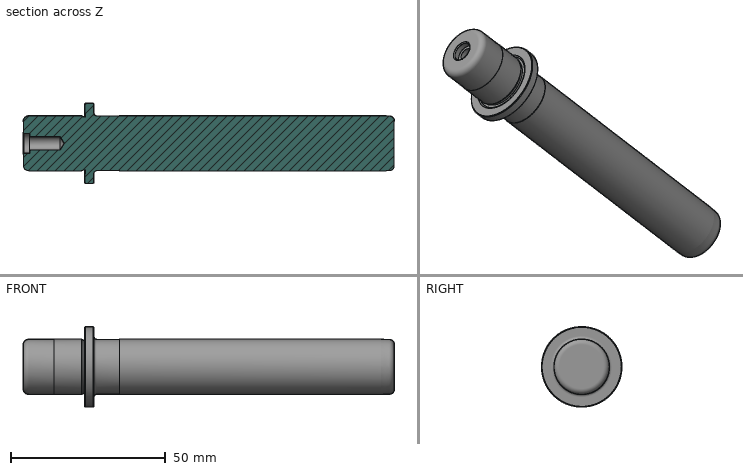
import cadquery as cq
import math

length = 120.0
pin_radius = 9.0
flange_diameter = 26.0
flange_start = 19.9
flange_width = 3.0
flange_chamfer = 0.2

nose_fillet = 1.9
nose_lead_end = 10.0
nose_relief = 0.06

undercut_start = 19.0
undercut_depth = 0.4
undercut_ramp = 0.5
undercut_face_radius = 10.0
undercut_face_depth = 0.2
undercut_floor_radius = 9.5

collar_end = 31.2
collar_step = 0.08
collar_fillet = 1.0

taper_start = 115.7
taper_drop = 0.1
tip_fillet = 1.7

bore_radius = 3.1
bore_chamfer = 0.4
bore_depth = 2.2
drill_diameter = 4.2
drill_depth = 12.0
drill_point_angle = 118.0

flange_end = flange_start + flange_width
flange_radius = flange_diameter / 2
drill_radius = drill_diameter / 2
nose_radius = pin_radius - nose_relief
neck_radius = pin_radius - undercut_depth
collar_radius = pin_radius - collar_step
tip_radius = pin_radius - taper_drop
arc_mid = 1 - math.sqrt(0.5)


def make_body():
    """Revolve the outer half profile about the X axis."""
    profile = (
        cq.Workplane("XY")
        .lineTo(0, nose_radius - nose_fillet)
        .threePointArc(
            (nose_fillet * arc_mid, nose_radius - nose_fillet * arc_mid),
            (nose_fillet, nose_radius),
        )
        .lineTo(nose_lead_end, nose_radius)
        .lineTo(nose_lead_end, pin_radius)
        .lineTo(undercut_start, pin_radius)
        .lineTo(undercut_start + undercut_ramp, neck_radius)
        .lineTo(flange_start + undercut_face_depth, neck_radius)
        .lineTo(flange_start + undercut_face_depth, undercut_floor_radius)
        .lineTo(flange_start, undercut_face_radius)
        .lineTo(flange_start, flange_radius - flange_chamfer)
        .lineTo(flange_start + flange_chamfer, flange_radius)
        .lineTo(flange_end - flange_chamfer, flange_radius)
        .lineTo(flange_end, flange_radius - flange_chamfer)
        .lineTo(flange_end, collar_radius + collar_fillet)
        .threePointArc(
            (flange_end + collar_fillet * arc_mid, collar_radius + collar_fillet * arc_mid),
            (flange_end + collar_fillet, collar_radius),
        )
        .lineTo(collar_end - collar_step, collar_radius)
        .lineTo(collar_end, pin_radius)
        .lineTo(taper_start, pin_radius)
        .lineTo(length - tip_fillet, tip_radius)
        .threePointArc(
            (length - tip_fillet * arc_mid, tip_radius - tip_fillet * arc_mid),
            (length, tip_radius - tip_fillet),
        )
        .lineTo(length, 0)
        .close()
    )
    return profile.revolve(360, (0, 0, 0), (1, 0, 0))


def make_centre_hole():
    """Chamfered counterbore, then a drilled hole with a conical bottom."""
    point_length = drill_radius / math.tan(math.radians(drill_point_angle / 2))
    profile = (
        cq.Workplane("XY")
        .lineTo(0, bore_radius + bore_chamfer)
        .lineTo(bore_chamfer, bore_radius)
        .lineTo(bore_depth, bore_radius)
        .lineTo(bore_depth, drill_radius)
        .lineTo(drill_depth, drill_radius)
        .lineTo(drill_depth + point_length, 0)
        .close()
    )
    return profile.revolve(360, (0, 0, 0), (1, 0, 0))


result = make_body().cut(make_centre_hole())